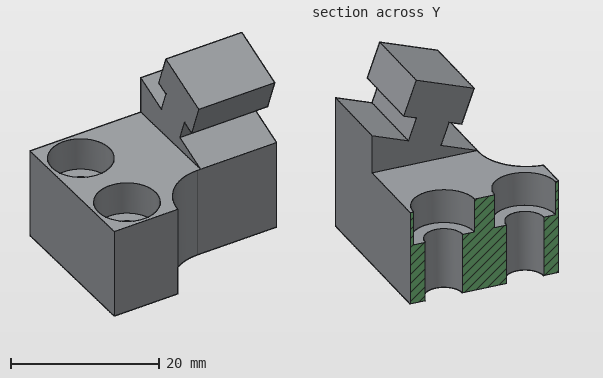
import cadquery as cq
import math

width = 22.0
depth = 29.5
height = 26.75
base_height = 14.0

wedge_width = 15.6
wedge_depth = 12.0
slope_angle = 20.0

stem_width = 5.13
stem_height = 3.45
head_width = 9.15

hole_diameter = 5.5
counterbore_diameter = 9.0
counterbore_depth = 5.02
hole_inset = 5.02
hole_spacing = 12.0

relief_radius = 7.0
relief_center_x = wedge_width + relief_radius
relief_center_y = 17.0

slope = math.radians(slope_angle)
wedge_rise = wedge_width * math.tan(slope)
slope_middle_z = base_height + wedge_rise / 2

rail_height = (height - slope_middle_z - head_width / 2 * math.sin(slope)) / math.cos(slope)


def make_base():
    """L-shaped base whose inner corner is a concave arc, tangent to the side of the wedge."""
    arc_end_y = relief_center_y - math.sqrt(relief_radius**2 - (width - relief_center_x) ** 2)
    middle_offset = relief_radius * math.sqrt(0.5)
    arc_middle = (relief_center_x - middle_offset, relief_center_y - middle_offset)
    return (
        cq.Workplane("XY")
        .lineTo(width, 0)
        .lineTo(width, arc_end_y)
        .threePointArc(arc_middle, (wedge_width, relief_center_y))
        .lineTo(wedge_width, depth)
        .lineTo(0, depth)
        .close()
        .extrude(base_height)
    )


def make_wedge():
    return (
        cq.Workplane("XZ", origin=(0, depth, 0))
        .polyline([
            (0, 0),
            (wedge_width, 0),
            (wedge_width, base_height),
            (0, base_height + wedge_rise),
        ])
        .close()
        .extrude(wedge_depth)
    )


def make_rail():
    """T section drawn upright on the middle of the slope, then tilted."""
    half_stem = stem_width / 2
    half_head = head_width / 2
    root = -half_stem * math.tan(slope)
    rail = (
        cq.Workplane("XZ", origin=(wedge_width / 2, depth, slope_middle_z))
        .polyline([
            (-half_stem, root),
            (half_stem, root),
            (half_stem, stem_height),
            (half_head, stem_height),
            (half_head, rail_height),
            (-half_head, rail_height),
            (-half_head, stem_height),
            (-half_stem, stem_height),
        ])
        .close()
        .extrude(wedge_depth)
    )
    pivot = (wedge_width / 2, 0, slope_middle_z)
    pivot_end = (wedge_width / 2, 1, slope_middle_z)
    return rail.rotate(pivot, pivot_end, slope_angle)


def cut_screw_holes(body):
    hole_centers = [(hole_inset + i * hole_spacing, hole_inset) for i in range(2)]
    return (
        body.copyWorkplane(cq.Workplane("XY", origin=(0, 0, base_height)))
        .pushPoints(hole_centers)
        .cboreHole(hole_diameter, counterbore_diameter, counterbore_depth)
    )


body = make_base().union(make_wedge()).union(make_rail())
result = cut_screw_holes(body)